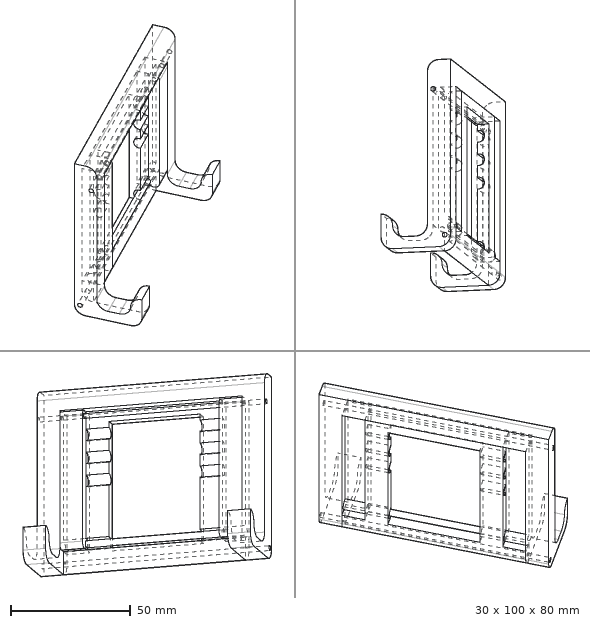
import cadquery as cq

width = 100.0
height = 80.0
hook_reach = 30.0
rail = 10.0
frame_depth = 10.0
layer = frame_depth / 2
corner_radius = layer

hook_thickness = 5.0
hook_height = 15.0

opening_top = height - rail
opening_width = width - 2 * rail

slot_bottom = 10.0
panel_top_bar = 5.0
window_width = opening_width - 4 * rail
window_top = opening_top - panel_top_bar

arm_radius = layer / 2
arm_foot_z = slot_bottom + arm_radius
crossbar_radius = 1.5
foot_offset = 0.5
foot_x = layer - foot_offset
notch_radius = arm_radius
lowest_prop_notch_z = 40.0
prop_notch_pitch = 10.0
prop_notch_count = 3
prop_notches = [lowest_prop_notch_z + i * prop_notch_pitch for i in range(prop_notch_count)]
notch_heights = [arm_foot_z, *prop_notches]

pin_radius = 1.0
panel_hinge = (layer / 2, 5.0)
stand_hinge = (layer + arm_radius, opening_top - arm_radius)


def block(x_range, y_range, z_range):
    """Box spanning the given ranges."""
    (x0, x1), (y0, y1), (z0, z1) = x_range, y_range, z_range
    return cq.Workplane("XY").box(x1 - x0, y1 - y0, z1 - z0, centered=False).translate((x0, y0, z0))


def profile_plane(y_start):
    """XZ sketch plane at y_start; a negative extrusion goes toward +Y."""
    return cq.Workplane("XZ", origin=(0, y_start, 0))


def rod(centre, radius, y_start, y_end):
    """Cylinder along Y, centred on the (x, z) point."""
    return profile_plane(y_start).center(*centre).circle(radius).extrude(y_start - y_end)


def centred_span(span):
    """Y range of the given length, centred on the part."""
    return ((width - span) / 2, (width + span) / 2)


def make_hook(y_start):
    """Hook at the foot of one side of the frame, one rail wide."""
    r = corner_radius
    inner_x = hook_reach - hook_thickness
    tip_z = hook_height - r
    floor_z = hook_thickness
    return (
        profile_plane(y_start)
        .moveTo(0, 0)
        .lineTo(hook_reach - r, 0)
        .radiusArc((hook_reach, r), -r)
        .lineTo(hook_reach, hook_height)
        .radiusArc((inner_x, tip_z), -r)
        .radiusArc((inner_x - r, floor_z), r)
        .lineTo(frame_depth + r, floor_z)
        .radiusArc((frame_depth, floor_z + r), r)
        .lineTo(0, floor_z + r)
        .close()
        .extrude(-rail)
    )


def make_frame():
    """Frame open at the bottom, with a hook at the foot of each side."""
    frame = block((0, frame_depth), (0, width), (0, height))
    frame = frame.edges("|Y and >X and >Z").fillet(corner_radius)
    frame = frame.cut(block((0, frame_depth), centred_span(opening_width), (0, opening_top)))
    for y_start in (0, width - rail):
        frame = frame.union(make_hook(y_start))
    frame = frame.edges("|Y and <X and <Z").fillet(corner_radius)
    for hinge in (panel_hinge, stand_hinge):
        frame = frame.cut(rod(hinge, pin_radius, 0, width))
    return frame


def make_panel():
    """Windowed panel with arm slots at its sides and stand notches in its back."""
    y_left, y_right = centred_span(opening_width)
    panel = (
        profile_plane(y_left)
        .moveTo(layer, 0)
        .radiusArc((0, corner_radius), corner_radius)
        .lineTo(0, opening_top)
        .lineTo(layer, opening_top)
        .close()
        .extrude(y_left - y_right)
    )
    panel = panel.cut(block((0, layer), centred_span(window_width), (slot_bottom, window_top)))
    for y_start in (y_left, y_right - rail):
        panel = panel.cut(block((0, layer), (y_start, y_start + rail), (slot_bottom, opening_top)))
    for z in notch_heights:
        panel = panel.cut(rod((foot_x, z), notch_radius, y_left + rail, y_right - rail))
    return panel.cut(rod(panel_hinge, pin_radius, y_left, y_right))


def make_stand():
    """Two hinged arms joined at their feet by a crossbar."""
    y_left, y_right = centred_span(opening_width)
    hinge_x, hinge_z = stand_hinge
    stand = rod((foot_x, arm_foot_z), crossbar_radius, y_left, y_right)
    for y_start in (y_left, y_right - rail):
        y_end = y_start + rail
        arm = block((layer, frame_depth), (y_start, y_end), (arm_foot_z, hinge_z))
        for centre in (stand_hinge, (hinge_x, arm_foot_z), (foot_x, arm_foot_z)):
            arm = arm.union(rod(centre, arm_radius, y_start, y_end))
        stand = stand.union(arm)
    return stand.cut(rod(stand_hinge, pin_radius, y_left, y_right))


def make_pin(hinge):
    """Hinge pin across the full width."""
    return rod(hinge, pin_radius, 0, width)


frame = make_frame()
panel = make_panel()
stand = make_stand()
pins = [make_pin(hinge) for hinge in (panel_hinge, stand_hinge)]

result = cq.Compound.makeCompound([frame.val(), panel.val(), stand.val(), *[pin.val() for pin in pins]])